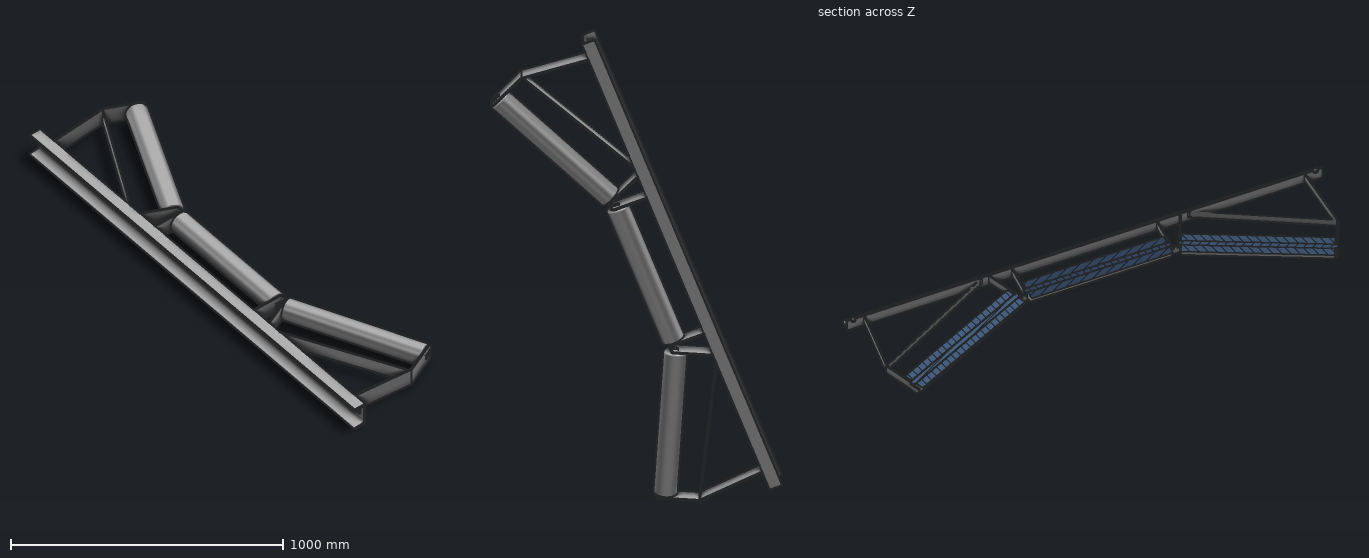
import cadquery as cq
import math


beam_length = 1900.0
beam_height = 100.0
flange_width = 50.0
web_thickness = 6.0
flange_thickness = 8.5
flange_slope = 0.08
root_radius = 8.5
toe_radius = 4.5

bolt_slot_width = 17.0
bolt_slot_length = 28.0
bolt_slot_inset = 27.0

roller_diameter = 90.0
roller_length = 566.0
roller_edge_radius = 5.0
shaft_diameter = 18.0
bore_diameter = shaft_diameter
trough_angle = 25.0
centre_roller_y = 120.0
side_roller_x = 585.0
side_roller_y = 249.0

bar_width = 75.0
brace_width = 60.0
bar_thickness = 6.0
bend_inner_radius = 4.0
brace_thickness = 4.0
end_gap = 4.0
bar_chamfer = 13.0
slot_depth_below_axis = shaft_diameter / 2
bracket_tip = 35.0
inner_bracket_top = 140.0
bend_below_axis = 125.0
foot_x = 880.0
brace_foot_x = 410.0

bracket_inner = roller_length / 2 + end_gap
bracket_outer = bracket_inner + bar_thickness
shaft_length = 2 * bracket_outer

tilt = math.radians(trough_angle)
along_axis = (math.cos(tilt), math.sin(tilt))
across_axis = (-math.sin(tilt), math.cos(tilt))


def side_point(along, across):
    """Point in the XY plane, measured from the middle of the right side roller."""
    return (
        side_roller_x + along * along_axis[0] + across * across_axis[0],
        side_roller_y + along * along_axis[1] + across * across_axis[1],
    )


def tilt_to_side(shape):
    """Move a shape from the origin to the place of the right side roller."""
    turned = shape.rotate((0, 0, 0), (0, 0, 1), trough_angle)
    return turned.translate((side_roller_x, side_roller_y, 0))


def mirror_x(shape):
    return shape.mirror("YZ")


def flat_bar(outline, width):
    """Bar whose edge outline lies in the XY plane, centred on Z = 0."""
    return cq.Workplane("XY", origin=(0, 0, -width / 2)).polyline(outline).close().extrude(width)


def round_bends(bar, inner_points, outer_points):
    """Round the bends of a bar at these points of its edge outline."""
    outer_radius = bend_inner_radius + bar_thickness
    for points, radius in ((inner_points, bend_inner_radius), (outer_points, outer_radius)):
        for x, y in points:
            bar = bar.edges(cq.selectors.NearestToPointSelector((x, y, 0))).fillet(radius)
    return bar


def across_x(length):
    """YZ workplane from which an extrusion of this length is centred on X = 0."""
    return cq.Workplane("YZ", origin=(-length / 2, 0, 0))


def make_beam():
    half = beam_height / 2
    rise = flange_slope * flange_width / 2
    toe_z = half - flange_thickness + rise
    root_z = half - flange_thickness - rise + flange_slope * web_thickness
    profile = [
        (0, -half), (0, half), (-flange_width, half), (-flange_width, toe_z),
        (-web_thickness, root_z), (-web_thickness, -root_z),
        (-flange_width, -toe_z), (-flange_width, -half),
    ]
    beam = across_x(beam_length).polyline(profile).close().extrude(beam_length)

    def edges_near(y, z):
        reach = 1.0
        boxes = [
            cq.selectors.BoxSelector(
                (-beam_length, y - reach, side * z - reach),
                (beam_length, y + reach, side * z + reach),
            )
            for side in (-1, 1)
        ]
        return beam.edges("|X").edges(boxes[0] + boxes[1])

    beam = edges_near(-web_thickness, root_z).fillet(root_radius)
    beam = edges_near(-flange_width, toe_z).fillet(toe_radius)

    slot_x = beam_length / 2 - bolt_slot_inset
    slots = (
        cq.Workplane("XZ")
        .pushPoints([(-slot_x, 0), (slot_x, 0)])
        .slot2D(bolt_slot_length, bolt_slot_width, 90)
        .extrude(web_thickness)
    )
    return beam.cut(slots)


def shaft_slot(along):
    """Open slot for a shaft end, square at its bottom, at a bracket of a roller at the origin."""
    height = 2 * bracket_tip
    depth = 3 * bar_thickness
    slot = cq.Workplane("XY").box(depth, height, shaft_diameter)
    return slot.translate((along, height / 2 - slot_depth_below_axis, 0))


def make_outer_bracket():
    """Bent bar from the beam up to the outer end of the right side roller."""
    bend_inner = side_point(bracket_inner, -bend_below_axis)
    bend_outer = side_point(bracket_outer, -bend_below_axis)
    bar = flat_bar([
        (foot_x - bar_thickness / 2, 0),
        (foot_x + bar_thickness / 2, 0),
        bend_outer,
        side_point(bracket_outer, bracket_tip),
        side_point(bracket_inner, bracket_tip),
        bend_inner,
    ], bar_width)
    return round_bends(bar, [bend_inner], [bend_outer])


def outer_tip_trim():
    """Corners cut from the free end of the outer bracket, for a roller at the origin."""
    half = bar_width / 2
    trim = cq.Workplane("YZ").workplane(offset=bracket_inner)
    for side in (-1, 1):
        trim = trim.polyline([
            (bracket_tip, side * half),
            (bracket_tip - bar_chamfer, side * half),
            (bracket_tip, side * (half - bar_chamfer)),
        ]).close()
    return trim.extrude(bar_thickness)


def make_inner_bracket():
    """Folded bar: upright at the centre roller, flat top, sloping leg at the side roller."""
    def leg_at(along, y):
        """Point at height y on the face of the sloping leg at this distance along the roller."""
        across = (y - side_roller_y - along * along_axis[1]) / across_axis[1]
        return side_point(along, across)

    under_top = inner_bracket_top - bar_thickness
    outer_bends = [
        (bracket_inner, inner_bracket_top),
        leg_at(-bracket_inner, inner_bracket_top),
    ]
    inner_bends = [
        leg_at(-bracket_outer, under_top),
        (bracket_outer, under_top),
    ]
    bar = flat_bar([
        (bracket_inner, 0),
        *outer_bends,
        leg_at(-bracket_inner, 0),
        leg_at(-bracket_outer, 0),
        *inner_bends,
        (bracket_outer, 0),
    ], bar_width)
    return round_bends(bar, inner_bends, outer_bends)


def make_brace():
    """Straight bar from the beam to the bend of the outer bracket."""
    top_x, top_y = side_point(bracket_inner, -bend_below_axis)
    slope = math.atan2(top_y, top_x - brace_foot_x)
    foot_width = brace_thickness / math.sin(slope)
    return flat_bar([
        (brace_foot_x, 0),
        (brace_foot_x + foot_width, 0),
        (top_x + foot_width, top_y),
        (top_x, top_y),
    ], brace_width)


def make_frame():
    """Beam and supports welded into one body."""
    outer = make_outer_bracket().cut(tilt_to_side(outer_tip_trim()))
    outer = outer.cut(tilt_to_side(shaft_slot(bracket_inner)))
    inner = make_inner_bracket()
    inner = inner.cut(tilt_to_side(shaft_slot(-bracket_inner)))
    inner = inner.cut(shaft_slot(bracket_inner).translate((0, centre_roller_y, 0)))
    support = outer.union(inner).union(make_brace())
    return make_beam().union(support).union(mirror_x(support))


def make_roller():
    """Drum with a bore for its shaft, lying along X at the origin."""
    drum = across_x(roller_length).circle(roller_diameter / 2).extrude(roller_length)
    drum = drum.edges().fillet(roller_edge_radius)
    bore = across_x(roller_length).circle(bore_diameter / 2).extrude(roller_length)
    return drum.cut(bore)


def make_shaft():
    return across_x(shaft_length).circle(shaft_diameter / 2).extrude(shaft_length)


def at_three_places(shape):
    """Copies of a shape at the left, centre and right roller places."""
    right = tilt_to_side(shape)
    return [mirror_x(right), shape.translate((0, centre_roller_y, 0)), right]


frame = make_frame()
rollers = at_three_places(make_roller())
shafts = at_three_places(make_shaft())

result = cq.Compound.makeCompound(
    [frame.val()] + [roller.val() for roller in rollers] + [shaft.val() for shaft in shafts]
)